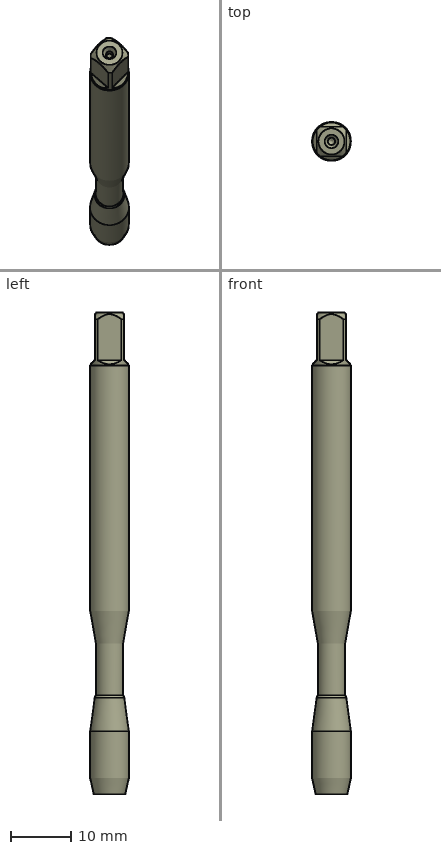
import cadquery as cq
import math

total_length = 80.0
shank_diameter = 6.5
shank_radius = shank_diameter / 2

tip_radius = 5.3 / 2
lead_length = 2.7
head_length = 10.5

neck_radius = 4.6 / 2
collar_radius = 5.0 / 2
lower_taper_top = 16.1
neck_bottom = 16.5
neck_top = 25.0
shank_bottom = 30.5

square_width = 4.9
square_bottom = 72.1
drive_radius = 6.2 / 2
shank_top = 71.1
shank_chamfer = shank_radius - drive_radius
ledge_angle = 45.0
top_face_radius = 4.3 / 2
top_chamfer_height = 1.1

center_mouth_radius = 2.2 / 2
center_drill_radius = 1.2 / 2
center_drill_depth = 2.0
countersink_angle = 60.0
drill_point_angle = 118.0


def revolve_profile(points):
    """Turn a closed (radius, height) outline around the Z axis."""
    return cq.Workplane("XZ").polyline(points).close().revolve(360, (0, 0, 0), (0, 1, 0))


def make_cutting_head():
    """Tapered lead and cylindrical cutting length."""
    return revolve_profile([
        (0, 0),
        (tip_radius, 0),
        (shank_radius, lead_length),
        (shank_radius, head_length),
        (0, head_length),
    ])


def make_turned_shank():
    """Round blank of the neck, shank and drive end."""
    return revolve_profile([
        (0, head_length),
        (shank_radius, head_length),
        (collar_radius, lower_taper_top),
        (neck_radius, neck_bottom),
        (neck_radius, neck_top),
        (shank_radius, shank_bottom),
        (shank_radius, shank_top),
        (drive_radius, shank_top + shank_chamfer),
        (drive_radius, total_length - top_chamfer_height),
        (top_face_radius, total_length),
        (0, total_length),
    ])


def make_flat_cutter():
    """Material removed on the +X side: a drive flat ending in a sloped ledge."""
    flat_distance = square_width / 2
    outer_distance = shank_diameter
    ledge_drop = (outer_distance - flat_distance) * math.tan(math.radians(ledge_angle))
    return (
        cq.Workplane("XZ")
        .polyline([
            (flat_distance, square_bottom),
            (outer_distance, square_bottom - ledge_drop),
            (outer_distance, total_length),
            (flat_distance, total_length),
        ])
        .close()
        .extrude(shank_radius, both=True)
    )


def make_center_hole():
    """Countersunk drilled hole with a conical bottom."""
    countersink_depth = (
        (center_mouth_radius - center_drill_radius) / math.tan(math.radians(countersink_angle / 2))
    )
    point_depth = center_drill_radius / math.tan(math.radians(drill_point_angle / 2))
    return revolve_profile([
        (0, total_length),
        (center_mouth_radius, total_length),
        (center_drill_radius, total_length - countersink_depth),
        (center_drill_radius, total_length - center_drill_depth),
        (0, total_length - center_drill_depth - point_depth),
    ])


def make_shank():
    """Shank with its neck, square drive and center hole."""
    body = make_turned_shank().cut(make_center_hole())
    flat_cutter = make_flat_cutter()
    for angle in (0, 90, 180, 270):
        body = body.cut(flat_cutter.rotate((0, 0, 0), (0, 0, 1), angle))
    return body


cutting_head = make_cutting_head()
shank = make_shank()
result = cq.Compound.makeCompound([cutting_head.val(), shank.val()])